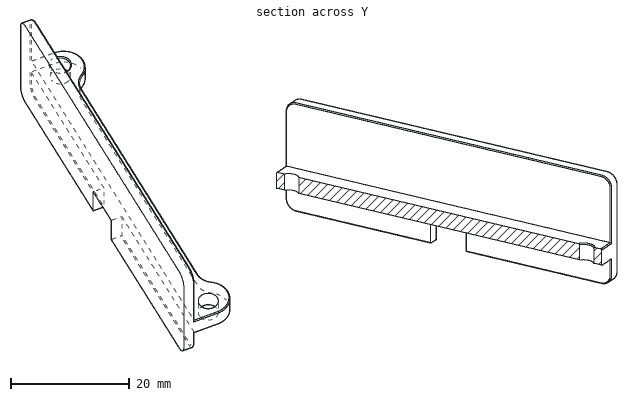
import cadquery as cq
import math

plate_length = 64.0
plate_height = 20.0
plate_thickness = 2.0
plate_corner_radius = 2.0

notch_width = 7.05
notch_height = 5.0

tab_thickness = 3.0
tab_depth = 10.0
web_depth = 7.0
ear_radius = 3.65
ear_blend_radius = 3.0
hole_diameter = 3.4
hole_edge_distance = 3.0
hole_center_y = 6.0

edge_chamfer = 0.2

half_length = plate_length / 2
plate_bottom = -plate_height / 2
tab_bottom = plate_bottom + notch_height
ear_center_x = half_length - ear_radius
ear_center_y = tab_depth - ear_radius


def make_plate():
    """Rounded plate with the central notch cut out of its bottom edge."""
    plate = (
        cq.Workplane("XY")
        .box(plate_length, plate_thickness, plate_height, centered=(True, False, True))
        .edges("|Y")
        .fillet(plate_corner_radius)
        .faces(">Y")
        .chamfer(edge_chamfer)
    )
    notch = (
        cq.Workplane("XY")
        .box(notch_width, plate_thickness, notch_height, centered=(True, False, False))
        .translate((0, 0, plate_bottom))
    )
    return plate.cut(notch)


def make_tab():
    """Flat web with a rounded ear at each end, blended into its rear edge."""
    blend_center_y = web_depth + ear_blend_radius
    center_rise = blend_center_y - ear_center_y
    center_distance = ear_radius + ear_blend_radius
    center_run = math.sqrt(center_distance**2 - center_rise**2)
    blend_center_x = ear_center_x - center_run
    blend_angle = math.atan2(center_rise, -center_run)

    def on_ear(angle):
        return (
            ear_center_x + ear_radius * math.cos(angle),
            ear_center_y + ear_radius * math.sin(angle),
        )

    blend_mid_angle = (blend_angle - math.pi - math.pi / 2) / 2
    blend_mid = (
        blend_center_x + ear_blend_radius * math.cos(blend_mid_angle),
        blend_center_y + ear_blend_radius * math.sin(blend_mid_angle),
    )

    right_half = (
        cq.Workplane("XY", origin=(0, 0, tab_bottom))
        .lineTo(half_length, 0)
        .lineTo(half_length, ear_center_y)
        .threePointArc(on_ear(blend_angle / 2), on_ear(blend_angle))
        .threePointArc(blend_mid, (blend_center_x, web_depth))
        .lineTo(0, web_depth)
        .close()
        .extrude(tab_thickness)
    )
    tab = right_half.union(right_half.mirror("YZ"))
    tab = tab.faces(">Z").edges("not <Y").chamfer(edge_chamfer)

    hole_x = half_length - hole_edge_distance
    holes = (
        cq.Workplane("XY", origin=(0, 0, tab_bottom))
        .pushPoints([(-hole_x, hole_center_y), (hole_x, hole_center_y)])
        .circle(hole_diameter / 2)
        .extrude(tab_thickness)
    )
    left_countersink = (
        cq.Workplane("XY", origin=(-hole_x, hole_center_y, tab_bottom + tab_thickness))
        .circle(hole_diameter / 2 + edge_chamfer)
        .workplane(offset=-edge_chamfer)
        .circle(hole_diameter / 2)
        .loft()
    )
    return tab.cut(holes).cut(left_countersink)


result = make_plate().union(make_tab())